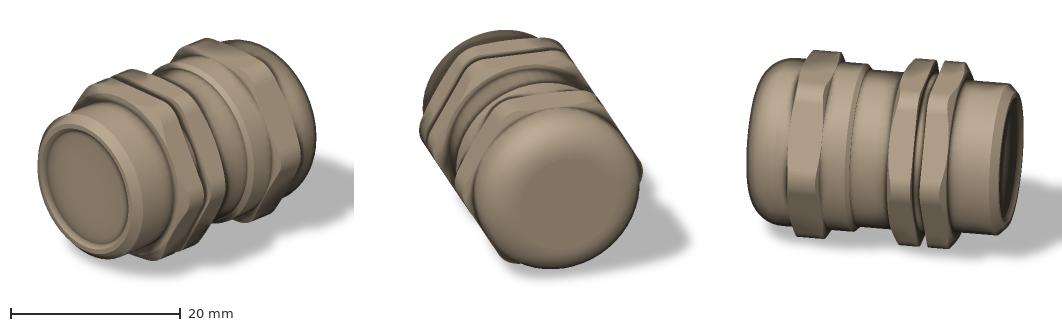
import cadquery as cq
import math

total_length = 30.55

thread_radius = 18.0 / 2
thread_chamfer = 0.95
recess_radius = 7.5
recess_depth = 0.52

across_flats = 20.0
across_rounded_corners = 22.15
lock_nut_start = 5.9
lock_nut_end = 8.85
body_hex_start = 10.02
body_hex_end = 13.0
cap_hex_start = 21.03
cap_hex_end = 25.03
nut_bevel_angle = 30.0
cap_bevel_angle = 20.0

seal_radius = 9.6

neck_radius = 18.6 / 2
cap_radius = 19.9 / 2
cap_start = 17.6
cap_chamfer = 0.5
dome_radius = 4.0

flat_radius = across_flats / 2
corner_radius = across_rounded_corners / 2
sharp_corner_radius = flat_radius / math.cos(math.radians(30))
hex_fillet = (sharp_corner_radius - corner_radius) / (1 / math.cos(math.radians(30)) - 1)


def disc(radius, start, end):
    """Solid cylinder along Y from start to end."""
    plane = cq.Workplane("XZ", origin=(0, start, 0))
    return plane.circle(radius).extrude(start - end)


def hexagon(start, end, bevel_angle, bevel_start, bevel_end):
    """Hexagonal prism with rounded corners and conically bevelled ends."""
    plane = cq.Workplane("XZ", origin=(0, start, 0))
    prism = plane.polygon(6, 2 * sharp_corner_radius).extrude(start - end)
    prism = prism.edges("|Y").fillet(hex_fillet)

    bevel_width = sharp_corner_radius - flat_radius
    bevel_height = bevel_width * math.tan(math.radians(bevel_angle))
    outline = cq.Workplane("XY").moveTo(0, start)
    if bevel_start:
        outline = outline.lineTo(flat_radius, start)
        outline = outline.lineTo(sharp_corner_radius, start + bevel_height)
    else:
        outline = outline.lineTo(sharp_corner_radius, start)
    if bevel_end:
        outline = outline.lineTo(sharp_corner_radius, end - bevel_height)
        outline = outline.lineTo(flat_radius, end)
    else:
        outline = outline.lineTo(sharp_corner_radius, end)
    envelope = outline.lineTo(0, end).close().revolve(360, (0, 0, 0), (0, 1, 0))
    return prism.intersect(envelope)


def threaded_end():
    """Chamfered spigot with a shallow conical recess in its face."""
    spigot = disc(thread_radius, 0, lock_nut_end).faces("<Y").chamfer(thread_chamfer)
    recess = (
        cq.Workplane("XY")
        .lineTo(recess_radius, 0)
        .lineTo(recess_radius - recess_depth, recess_depth)
        .lineTo(0, recess_depth)
        .close()
        .revolve(360, (0, 0, 0), (0, 1, 0))
    )
    return spigot.cut(recess)


def seal_ring():
    """Disc with a half-round rim that fills the gap between the hexagons."""
    rim_radius = (body_hex_start - lock_nut_end) / 2
    return (
        cq.Workplane("XY")
        .moveTo(0, lock_nut_end)
        .lineTo(seal_radius - rim_radius, lock_nut_end)
        .threePointArc(
            (seal_radius, lock_nut_end + rim_radius),
            (seal_radius - rim_radius, body_hex_start),
        )
        .lineTo(0, body_hex_start)
        .close()
        .revolve(360, (0, 0, 0), (0, 1, 0))
    )


def cap():
    """Domed cap with a chamfered mouth and its own hexagon."""
    shell = disc(cap_radius, cap_start, total_length)
    shell = shell.faces("<Y").chamfer(cap_chamfer)
    shell = shell.faces(">Y").edges().fillet(dome_radius)
    return shell.union(hexagon(cap_hex_start, cap_hex_end, cap_bevel_angle, True, True))


result = (
    threaded_end()
    .union(hexagon(lock_nut_start, lock_nut_end, nut_bevel_angle, True, False))
    .union(seal_ring())
    .union(hexagon(body_hex_start, body_hex_end, nut_bevel_angle, False, True))
    .union(disc(neck_radius, body_hex_end, cap_start))
    .union(cap())
)